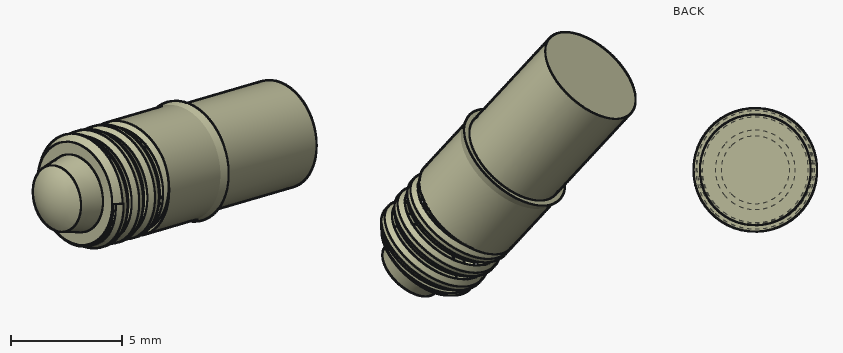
import cadquery as cq
import math


total_length = 14.56
contact_height = 0.5
shell_start = 1.63
thread_end = 4.98
rim_start = 8.25
rim_end = 8.65

bulb_radius = 2.49
shell_radius = 2.66
rim_radius = 2.78
insulator_base_radius = 1.79
contact_radius = 1.53

chamfer_depth = 0.29
chamfer_length = 0.36

thread_pitch = 1.0
groove_depth = 0.25
flank_angle = math.radians(40)
floor_round = 0.16
crest_round = 0.19
crest_rise = 0.007
groove_first_center = 4.69
turns_below = 3
turns_above = 0.56
cut_clearance = 0.15


def revolve_around_y(points):
    """Solid of revolution from (radius, Y) corner points."""
    return cq.Workplane("XY").polyline(points).close().revolve(360, (0, 0, 0), (0, 1, 0))


def make_bulb():
    return revolve_around_y([
        (0, rim_end),
        (bulb_radius, rim_end),
        (bulb_radius, total_length),
        (0, total_length),
    ])


def half_groove_points():
    """(half width, depth below the shell surface) of the groove section, from the floor outwards."""
    half_angle = flank_angle / 2

    def arc_offset(radius, angle):
        return radius * math.sin(angle), radius * (1 - math.cos(angle))

    floor_width, floor_rise = arc_offset(floor_round, flank_angle)
    crest_width, crest_drop = arc_offset(crest_round, flank_angle)
    crest_mid_width, crest_mid_drop = arc_offset(crest_round, half_angle)

    flank_width = (groove_depth + crest_rise - floor_rise - crest_drop) / math.tan(flank_angle)
    mouth_width = floor_width + flank_width + crest_width
    return {
        "floor": (0, groove_depth),
        "flank_bottom": (floor_width, groove_depth - floor_rise),
        "flank_top": (floor_width + flank_width, crest_drop - crest_rise),
        "crest_middle": (mouth_width - crest_mid_width, crest_mid_drop - crest_rise),
        "mouth": (mouth_width, -crest_rise),
        "outside": (mouth_width, -cut_clearance),
    }


def make_groove_cutter():
    """Helical groove around Y that overruns both ends of the threaded part."""
    helix_length = (turns_below + turns_above) * thread_pitch
    helix_start = groove_first_center - turns_below * thread_pitch
    helix = cq.Wire.makeHelix(thread_pitch, helix_length, shell_radius, cq.Vector(0, 0, helix_start))

    half_groove = half_groove_points()

    def section_point(name, side):
        half_width, depth = half_groove[name]
        return shell_radius - depth, helix_start + side * half_width

    lower, upper = -1, 1
    section = (
        cq.Workplane("XZ")
        .moveTo(*section_point("outside", lower))
        .lineTo(*section_point("mouth", lower))
        .threePointArc(section_point("crest_middle", lower), section_point("flank_top", lower))
        .lineTo(*section_point("flank_bottom", lower))
        .threePointArc(section_point("floor", upper), section_point("flank_bottom", upper))
        .lineTo(*section_point("flank_top", upper))
        .threePointArc(section_point("crest_middle", upper), section_point("mouth", upper))
        .lineTo(*section_point("outside", upper))
        .close()
    )
    groove = section.sweep(cq.Workplane(obj=helix), isFrenet=True)
    return groove.rotate((0, 0, 0), (1, 0, 0), -90)


def make_chamfer_cutter():
    """Triangular ring that bevels the tip end of the shell."""
    slope = chamfer_length / chamfer_depth
    outer_radius = shell_radius + cut_clearance
    return revolve_around_y([
        (shell_radius - chamfer_depth, shell_start),
        (outer_radius, shell_start),
        (outer_radius, shell_start + chamfer_length + cut_clearance * slope),
    ])


def make_shell():
    threaded_part = (
        cq.Workplane("XZ", origin=(0, shell_start, 0))
        .circle(shell_radius)
        .extrude(shell_start - thread_end)
        .cut(make_groove_cutter())
        .cut(make_chamfer_cutter())
    )
    plain_part = revolve_around_y([
        (0, thread_end),
        (shell_radius, thread_end),
        (shell_radius, rim_start),
        (rim_radius, rim_end),
        (0, rim_end),
    ])
    return threaded_part.union(plain_part)


def make_insulator():
    return revolve_around_y([
        (0, contact_height),
        (contact_radius, contact_height),
        (insulator_base_radius, shell_start),
        (0, shell_start),
    ])


def make_contact():
    """Spherical cap whose pole is at the origin."""
    sphere_radius = (contact_radius**2 + contact_height**2) / (2 * contact_height)
    ball = cq.Workplane("XY", origin=(0, sphere_radius, 0)).sphere(sphere_radius)
    cap_zone = cq.Workplane("XZ").circle(contact_radius).extrude(-contact_height)
    return ball.intersect(cap_zone)


bulb = make_bulb()
shell = make_shell()
insulator = make_insulator()
contact = make_contact()

result = cq.Compound.makeCompound([
    bulb.val(),
    shell.solids().val(),
    insulator.val(),
    contact.solids().val(),
])